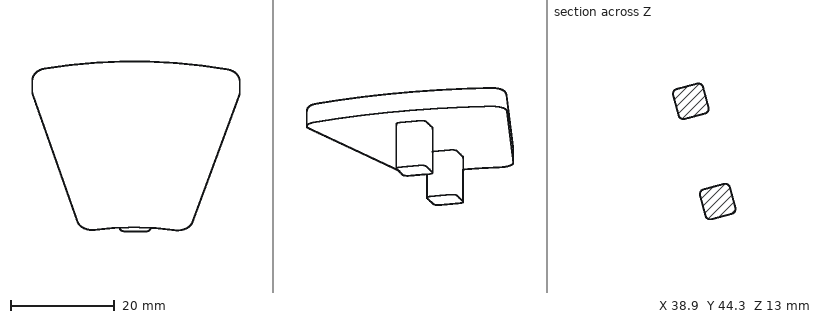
import cadquery as cq
import math

INNER_RADIUS = 40.0
OUTER_RADIUS = 80.0
SECTOR_ANGLE = 30.0
PLATE_THICKNESS = 4.0
PLATE_CORNER_RADIUS = 3.0
TOP_EDGE_RADIUS = 1.0

PEG_WIDTH = 6.0
PEG_LENGTH = 9.0
PEG_CORNER_RADIUS = 1.0
PEG_SPACING = 20.0
PEG_MIDDLE_RADIUS = (INNER_RADIUS + OUTER_RADIUS) / 2
PEG_RADII = (PEG_MIDDLE_RADIUS - PEG_SPACING / 2, PEG_MIDDLE_RADIUS + PEG_SPACING / 2)

BISECTOR_ANGLE = SECTOR_ANGLE / 2


def polar_point(radius, angle):
    """Point at a radius from the apex, with the angle in degrees from +Y toward -X."""
    radians = math.radians(angle)
    return (-radius * math.sin(radians), radius * math.cos(radians))


def make_plate():
    """Sector plate with rounded corners and a rounded top rim."""
    plate = (
        cq.Workplane("XY")
        .moveTo(*polar_point(INNER_RADIUS, 0))
        .lineTo(*polar_point(OUTER_RADIUS, 0))
        .threePointArc(polar_point(OUTER_RADIUS, BISECTOR_ANGLE), polar_point(OUTER_RADIUS, SECTOR_ANGLE))
        .lineTo(*polar_point(INNER_RADIUS, SECTOR_ANGLE))
        .threePointArc(polar_point(INNER_RADIUS, BISECTOR_ANGLE), polar_point(INNER_RADIUS, 0))
        .close()
        .extrude(PLATE_THICKNESS)
    )
    plate = plate.edges("|Z").fillet(PLATE_CORNER_RADIUS)
    return plate.faces(">Z").edges().fillet(TOP_EDGE_RADIUS)


def make_peg(radius):
    """Square peg hanging from the plate underside, turned to face along the bisector."""
    return (
        cq.Workplane("XY")
        .rect(PEG_WIDTH, PEG_WIDTH)
        .extrude(-PEG_LENGTH)
        .edges("|Z")
        .fillet(PEG_CORNER_RADIUS)
        .translate((0, radius, 0))
        .rotate((0, 0, 0), (0, 0, 1), BISECTOR_ANGLE)
    )


result = make_plate()
for peg_radius in PEG_RADII:
    result = result.union(make_peg(peg_radius))